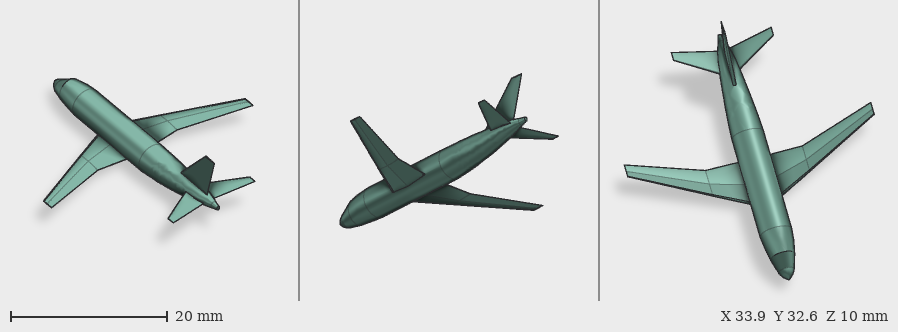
import cadquery as cq

length = 33.85
span = 32.55
height = 10.0
radius = 2.1
cabin_start = 6.35
cabin_end = 20.1
tail_cone_start = 32.93

windscreen_base = (1.25, 0.4, -1.55, 1.05)
windscreen_top = (3.0, 1.65, -1.9, 1.6)
nose_sections = [
    (0, -0.55, -0.7, 0.085),
    (0.4, -0.07, -1.15, 0.55),
    windscreen_base,
]
crown_sections = [
    windscreen_top,
    (4.4, 1.95, -2.0, 1.9),
    (cabin_start, radius, -radius, radius),
]
tail_cone_base = (tail_cone_start, 1.4, 0.4, 0.45)
tail_end = (length, 1.22, 0.65, 0.25)
tail_sections = [
    (cabin_end, radius, -radius, radius),
    (21.93, radius, -1.93, 2.0),
    (23.82, radius, -1.7, 1.85),
    (25.92, 2.03, -1.35, 1.65),
    (28.75, 1.85, -0.68, 1.35),
    (31.55, 1.62, 0.07, 0.88),
    tail_cone_base,
]

wing_tip_y = span / 2
wing_kink_y = 6.4
wing_root_z = -1.25
tailplane_tip_y = 6.6
tailplane_root_z = 0.75
dihedral_slope = 0.1
fin_root_z = 1.0
fin_tip_z = height - radius
crest_fraction = 0.45
nose_fraction = 0.05
nose_thickness_fraction = 0.6
trailing_thickness_fraction = 0.15


def section_wire(x, top, bottom, half_width):
    """Elliptical fuselage section normal to X."""
    centre = cq.Vector(x, 0, (top + bottom) / 2)
    half_height = (top - bottom) / 2
    if half_height > half_width:
        radii, major_axis = (half_height, half_width), cq.Vector(0, 0, 1)
        seam_angle = 0
    else:
        radii, major_axis = (half_width, half_height), cq.Vector(0, 1, 0)
        seam_angle = 90
    return cq.Wire.makeEllipse(
        *radii, centre, cq.Vector(1, 0, 0), major_axis, seam_angle, seam_angle + 360
    )


def fuselage_part(sections, ruled=False):
    return cq.Workplane(cq.Solid.makeLoft([section_wire(*s) for s in sections], ruled))


def make_fuselage():
    cabin = cq.Workplane("YZ", origin=(cabin_start, 0, 0)).circle(radius).extrude(cabin_end - cabin_start)
    nose = fuselage_part(nose_sections)
    windscreen = fuselage_part([windscreen_base, windscreen_top], ruled=True)
    crown = fuselage_part(crown_sections)
    tail = fuselage_part(tail_sections)
    tail_cone = fuselage_part([tail_cone_base, tail_end], ruled=True)
    return cabin.union(crown).union(windscreen).union(nose).union(tail).union(tail_cone)


def profile_wire(plane, leading, trailing, thickness, crested):
    """Symmetric profile in a plane whose local X axis is the chord."""
    chord = trailing - leading
    nose_x = leading + nose_fraction * chord
    crest_x = leading + crest_fraction * chord
    half = thickness / 2
    nose_half = half * nose_thickness_fraction if crested else half
    rear_half = half * trailing_thickness_fraction
    outline = cq.Workplane(plane).moveTo(nose_x, -nose_half)
    outline = outline.threePointArc((leading, 0), (nose_x, nose_half))
    if crested:
        outline = outline.lineTo(crest_x, half)
    outline = outline.lineTo(trailing, rear_half).lineTo(trailing, -rear_half)
    if crested:
        outline = outline.lineTo(crest_x, -half)
    return outline.close().val()


def make_panel(stations, root_z, crested=False):
    """Panel on the +Y side; stations are Y, leading X, trailing X, thickness."""
    wires = []
    for y, leading, trailing, thickness in stations:
        plane = cq.Plane((0, y, root_z + dihedral_slope * y), (1, 0, 0), (0, -1, 0))
        wires.append(profile_wire(plane, leading, trailing, thickness, crested))
    return cq.Workplane(cq.Solid.makeLoft(wires, True))


def make_fin():
    wires = []
    for z, leading, trailing, thickness in [(fin_root_z, 25.5, 31.4, 0.47), (fin_tip_z, 31.25, 33.05, 0.2)]:
        plane = cq.Plane((0, 0, z), (1, 0, 0), (0, 0, 1))
        wires.append(profile_wire(plane, leading, trailing, thickness, False))
    return cq.Workplane(cq.Solid.makeLoft(wires, True))


wing = make_panel(
    [(0, 10.32, 17.3, 0.65), (wing_kink_y, 13.5, 17.12, 0.37), (wing_tip_y, 18.5, 20.2, 0.15)],
    wing_root_z,
    crested=True,
)
tailplane = make_panel([(0, 27.95, 31.7, 0.27), (tailplane_tip_y, 31.9, 33.03, 0.1)], tailplane_root_z)

result = make_fuselage().union(make_fin())
for panel in (wing, tailplane):
    result = result.union(panel).union(panel.mirror("XZ"))